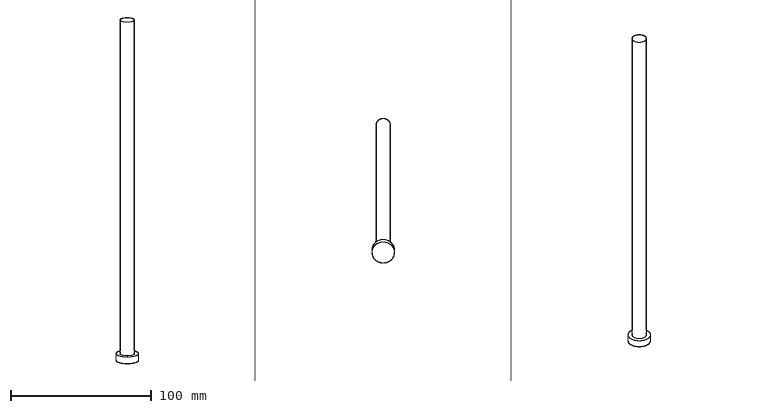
import cadquery as cq

total_length = 255.0
head_diameter = 16.0
head_height = 5.0
shaft_diameter = 10.2

head = cq.Workplane("XY").circle(head_diameter / 2).extrude(head_height)
shaft = cq.Workplane("XY").circle(shaft_diameter / 2).extrude(total_length)

result = head.union(shaft)